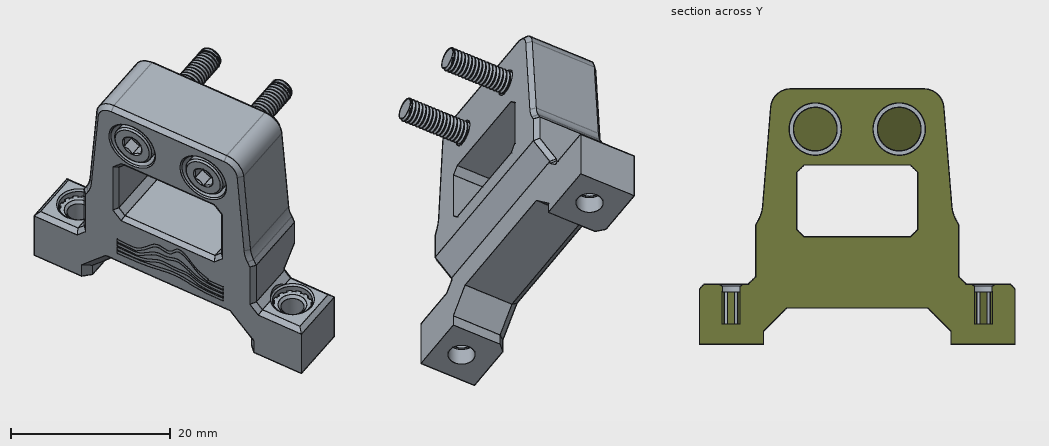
import cadquery as cq
import math

WIDTH = 39.45
HEIGHT = 31.95
BODY_DEPTH = 10.2
FOOT_DEPTH = 7.77
EDGE_CHAMFER = 0.6

HALF_WIDTH = WIDTH / 2
TOP_HALF_WIDTH = 10.65
WAIST_HALF_WIDTH = 11.9
WAIST_Z = 16.4
SHOULDER_HALF_WIDTH = 12.7
SHOULDER_Z = 14.9
FOOT_TOP_Z = 7.55
FOOT_CORNER_RISE = 0.9
TOP_CORNER_RADIUS = 2.53
WAIST_RADIUS = 3.95

ARCH_HALF_WIDTH = 11.7
ARCH_SIDE_Z = 1.6
ARCH_TOP_Z = 4.55
ARCH_CHAMFER = 1.0
ARCH_TOP_HALF_WIDTH = ARCH_HALF_WIDTH - (ARCH_TOP_Z - ARCH_SIDE_Z)

STEP_Z = 8.55

WINDOW_WIDTH = 15.1
WINDOW_BOTTOM_Z = 13.45
WINDOW_TOP_Z = 22.4
WINDOW_CORNER = 0.9
WINDOW_CHAMFER = 0.55
MOUTH_TAPER = WINDOW_CHAMFER * 0.9999

SCREW_X = 5.25
SCREW_Z = 26.9
SCREW_TIP_Y = 18.6
HEAD_DIAMETER = 5.5
HEAD_HEIGHT = 3.0
HEAD_CHAMFER = 0.25
THREAD_DIAMETER = 3.0
THREAD_ROOT_DIAMETER = 2.35
THREAD_PITCH = 0.5
THREAD_CREST_WIDTH = 0.08
THREAD_START_Y = 7.9
SOCKET_FLATS = 2.5
SOCKET_MOUTH_DIAMETER = 2.9
SOCKET_DEPTH = 1.75
SCREW_HOLE_DIAMETER = 3.4
COUNTERBORE_DIAMETER = 6.5
COUNTERBORE_MOUTH_DIAMETER = 6.85

INSERT_X = 15.8
INSERT_Y = 4.2
INSERT_DIAMETER = 5.0
INSERT_LENGTH = 4.0
INSERT_RECESS = 1.0
INSERT_TOP_Z = FOOT_TOP_Z - INSERT_RECESS
INSERT_BORE_DIAMETER = 2.9
INSERT_MOUTH_DIAMETER = 3.6
KNURL_COUNT = 13
KNURL_ROOT_DIAMETER = 4.6
KNURL_WIDTH = 0.5
INSERT_HOLE_MOUTH_DIAMETER = 5.5

INLAY_LEFT_X = -7.5
INLAY_RIGHT_X = 8.15
INLAY_DEPTH = 0.4
INLAY_HEIGHT = 0.47
INLAY_CREST_POINTS = [
    [(-4.4, 9.4), (-3.47, 10.02), (-1.3, 11.52), (0.3, 11.33), (1.55, 12.3), (2.7, 11.85), (4.65, 10.02), (5.95, 9.35)],
    [(-4.02, 8.72), (-2.45, 9.7), (-1.42, 10.1), (0.0, 10.15), (1.3, 10.5), (2.7, 10.02), (4.65, 8.9), (5.85, 8.65)],
    [(-4.22, 7.95), (-3.05, 8.2), (-1.05, 8.95), (0.1, 8.9), (1.3, 8.85), (3.08, 8.8), (4.25, 8.25), (5.85, 7.9)],
    [(-4.02, 7.35), (-2.05, 7.55), (-0.08, 7.85), (1.9, 7.85), (3.85, 7.45), (5.85, 7.2)],
]
INLAY_LEFT_Z = [9.3, 8.65, 7.95, 7.3]
INLAY_RIGHT_Z = [9.2, 8.55, 7.9, 7.2]


def front_workplane():
    """XZ workplane on the front face; extruding by a negative length goes toward the back."""
    return cq.Workplane("XZ")


def mirrored_outline(right_half):
    """Closed outline from its right half, listed from bottom to top."""
    left_half = [(-x, z) for x, z in reversed(right_half)]
    return right_half + left_half


def bracket_blank():
    right_half = [
        (ARCH_TOP_HALF_WIDTH, ARCH_TOP_Z),
        (ARCH_HALF_WIDTH, ARCH_SIDE_Z),
        (ARCH_HALF_WIDTH, 0),
        (HALF_WIDTH, 0),
        (HALF_WIDTH, FOOT_TOP_Z),
        (SHOULDER_HALF_WIDTH + FOOT_CORNER_RISE, FOOT_TOP_Z),
        (SHOULDER_HALF_WIDTH, FOOT_TOP_Z + FOOT_CORNER_RISE),
        (SHOULDER_HALF_WIDTH, SHOULDER_Z),
        (WAIST_HALF_WIDTH, WAIST_Z),
        (TOP_HALF_WIDTH, HEIGHT),
    ]
    blank = front_workplane().polyline(mirrored_outline(right_half)).close().extrude(-BODY_DEPTH)

    def edges_at_height(z):
        return cq.selectors.BoxSelector((-HALF_WIDTH, 0, z - 0.4), (HALF_WIDTH, BODY_DEPTH, z + 0.4))

    blank = blank.edges("|Y").edges(edges_at_height(HEIGHT)).fillet(TOP_CORNER_RADIUS)
    return blank.edges("|Y").edges(edges_at_height(WAIST_Z)).fillet(WAIST_RADIUS)


def back_step():
    """Material removed behind the feet, below a 45 degree slope."""
    step_depth = BODY_DEPTH - FOOT_DEPTH
    profile = [
        (FOOT_DEPTH, 0),
        (BODY_DEPTH, 0),
        (BODY_DEPTH, STEP_Z + step_depth),
        (FOOT_DEPTH, STEP_Z),
    ]
    return cq.Workplane("YZ").polyline(profile).close().extrude(HALF_WIDTH, both=True)


def is_upper_outline_edge(edge):
    """True for the edges round the outside, from the top of one foot to the other."""
    tolerance = 0.005
    middle = edge.positionAt(0.5)
    runs_along_y = abs(edge.tangentAt(0.5).y) > 0.99
    runs_along_x = abs(edge.tangentAt(0.5).x) > 0.99
    on_foot_end = abs(middle.x) > HALF_WIDTH - tolerance
    if runs_along_y:
        return on_foot_end and middle.z > FOOT_TOP_Z - tolerance
    if middle.z < FOOT_TOP_Z - tolerance or on_foot_end:
        return False
    across_step = runs_along_x and abs(middle.x) < tolerance and middle.z < HEIGHT - tolerance
    return not across_step


def is_arch_front_edge(edge):
    """True for the front edges of the arch between the feet."""
    tolerance = 0.005
    middle = edge.positionAt(0.5)
    on_front = middle.y < tolerance
    inside_feet = abs(middle.x) < ARCH_HALF_WIDTH + tolerance
    return on_front and inside_feet and tolerance < middle.z < ARCH_TOP_Z + tolerance


def chamfer_edges(body, is_wanted, size):
    edges = [edge for edge in body.edges().vals() if is_wanted(edge)]
    return body.newObject(edges).chamfer(size)


def window():
    """Window opening with cut corners and a chamfered front mouth."""
    middle_z = (WINDOW_BOTTOM_Z + WINDOW_TOP_Z) / 2
    height = WINDOW_TOP_Z - WINDOW_BOTTOM_Z

    def prism(depth, margin):
        return (
            front_workplane()
            .center(0, middle_z)
            .rect(WINDOW_WIDTH + 2 * margin, height + 2 * margin)
            .extrude(-depth)
            .edges("|Y")
            .chamfer(WINDOW_CORNER + margin * (2 - math.sqrt(2)))
        )

    mouth = prism(WINDOW_CHAMFER, WINDOW_CHAMFER).faces(">Y").chamfer(MOUTH_TAPER)
    return prism(BODY_DEPTH, 0).union(mouth)


def revolved(profile, plane):
    """Solid of revolution about the second axis of the plane."""
    return cq.Workplane(plane).polyline(profile).close().revolve(360, (0, 0), (0, 1))


def about_y(profile):
    """Solid of revolution about Y from (radius, y) points."""
    return revolved(profile, "XY")


def about_z(profile):
    """Solid of revolution about Z from (radius, z) points."""
    return revolved(profile, "XZ")


def screw_hole():
    mouth_radius = COUNTERBORE_MOUTH_DIAMETER / 2
    bore_radius = COUNTERBORE_DIAMETER / 2
    hole_radius = SCREW_HOLE_DIAMETER / 2
    return about_y([
        (0, 0),
        (mouth_radius, 0),
        (bore_radius, mouth_radius - bore_radius),
        (bore_radius, HEAD_HEIGHT),
        (hole_radius, HEAD_HEIGHT),
        (hole_radius, BODY_DEPTH),
        (0, BODY_DEPTH),
    ])


def insert_hole():
    mouth_radius = INSERT_HOLE_MOUTH_DIAMETER / 2
    bore_radius = INSERT_DIAMETER / 2
    hole_radius = SCREW_HOLE_DIAMETER / 2
    insert_bottom_z = INSERT_TOP_Z - INSERT_LENGTH
    clear_z = FOOT_TOP_Z + FOOT_CORNER_RISE
    return about_z([
        (0, 0),
        (hole_radius, 0),
        (hole_radius, insert_bottom_z),
        (bore_radius, insert_bottom_z),
        (bore_radius, FOOT_TOP_Z - (mouth_radius - bore_radius)),
        (mouth_radius, FOOT_TOP_Z),
        (mouth_radius, clear_z),
        (0, clear_z),
    ])


def thread_groove():
    """Helical V groove round the Y axis, from THREAD_START_Y to past the tip."""
    crest_radius = THREAD_DIAMETER / 2
    root_radius = THREAD_ROOT_DIAMETER / 2
    clearance = 0.05
    slope = (THREAD_PITCH - THREAD_CREST_WIDTH) / 2 / (crest_radius - root_radius)
    half_mouth = slope * (crest_radius + clearance - root_radius)
    length = SCREW_TIP_Y + THREAD_PITCH - THREAD_START_Y
    path = cq.Wire.makeHelix(THREAD_PITCH, length, root_radius)
    outline = [
        (root_radius, 0),
        (crest_radius + clearance, half_mouth),
        (crest_radius + clearance, -half_mouth),
    ]
    groove = cq.Workplane("XZ").polyline(outline).close().sweep(cq.Workplane(path), isFrenet=True)
    return groove.rotate((0, 0, 0), (1, 0, 0), -90).translate((0, THREAD_START_Y, 0))


def hex_socket():
    """Hexagonal socket with two flats upright and a conical mouth."""
    across_corners = SOCKET_FLATS * 2 / math.sqrt(3)
    mouth_radius = SOCKET_MOUTH_DIAMETER / 2
    hexagon = front_workplane().polygon(6, across_corners).extrude(-SOCKET_DEPTH)
    hexagon = hexagon.rotate((0, 0, 0), (0, 1, 0), 30)
    return hexagon.union(about_y([(0, 0), (mouth_radius, 0), (0, mouth_radius)]))


def screw_body():
    head_radius = HEAD_DIAMETER / 2
    shank_radius = THREAD_DIAMETER / 2
    blank = about_y([
        (0, 0),
        (head_radius - HEAD_CHAMFER, 0),
        (head_radius, HEAD_CHAMFER),
        (head_radius, HEAD_HEIGHT),
        (shank_radius, HEAD_HEIGHT),
        (shank_radius, SCREW_TIP_Y),
        (0, SCREW_TIP_Y),
    ])
    return blank.cut(hex_socket()).cut(thread_groove())


def insert_body():
    """Sleeve with a countersunk bore and straight knurl notches."""
    outer_radius = INSERT_DIAMETER / 2
    bore_radius = INSERT_BORE_DIAMETER / 2
    mouth_radius = INSERT_MOUTH_DIAMETER / 2
    bottom_z = INSERT_TOP_Z - INSERT_LENGTH
    body = about_z([
        (bore_radius, bottom_z),
        (outer_radius, bottom_z),
        (outer_radius, INSERT_TOP_Z),
        (mouth_radius, INSERT_TOP_Z),
        (bore_radius, INSERT_TOP_Z - (mouth_radius - bore_radius)),
    ])
    notch_depth = (INSERT_DIAMETER - KNURL_ROOT_DIAMETER) / 2
    notches = (
        cq.Workplane("XY", origin=(0, 0, bottom_z))
        .polarArray(outer_radius, 90, 360, KNURL_COUNT)
        .rect(2 * notch_depth, KNURL_WIDTH)
        .extrude(INSERT_LENGTH)
    )
    return body.cut(notches)


def inlay_body(crest_points, left_z, right_z):
    """Band between a wavy crest line and the same line one band height lower."""
    upper = [(INLAY_LEFT_X, left_z), *crest_points, (INLAY_RIGHT_X, right_z)]
    lower = [(x, z - INLAY_HEIGHT) for x, z in reversed(upper)]
    level = [(1, 0), (1, 0)]
    level_back = [(-1, 0), (-1, 0)]
    return (
        front_workplane()
        .moveTo(*upper[0])
        .spline(upper[1:], tangents=level, includeCurrent=True)
        .lineTo(*lower[0])
        .spline(lower[1:], tangents=level_back, includeCurrent=True)
        .close()
        .extrude(-INLAY_DEPTH)
    )


SIDES = (-1, 1)
screw_places = [(side * SCREW_X, 0, SCREW_Z) for side in SIDES]
insert_places = [(side * INSERT_X, INSERT_Y, 0) for side in SIDES]

screw = screw_body()
screws = [screw.translate(place) for place in screw_places]
insert = insert_body()
inserts = [insert.translate(place) for place in insert_places]
inlays = [inlay_body(*band) for band in zip(INLAY_CREST_POINTS, INLAY_LEFT_Z, INLAY_RIGHT_Z)]

bracket = bracket_blank().cut(back_step())
bracket = chamfer_edges(bracket, is_upper_outline_edge, EDGE_CHAMFER)
bracket = chamfer_edges(bracket, is_arch_front_edge, ARCH_CHAMFER)
bracket = bracket.cut(window())
for place in screw_places:
    bracket = bracket.cut(screw_hole().translate(place))
for place in insert_places:
    bracket = bracket.cut(insert_hole().translate(place))
for inlay in inlays:
    bracket = bracket.cut(inlay)

bodies = [bracket, *screws, *inserts, *inlays]
result = cq.Compound.makeCompound([body.val() for body in bodies])